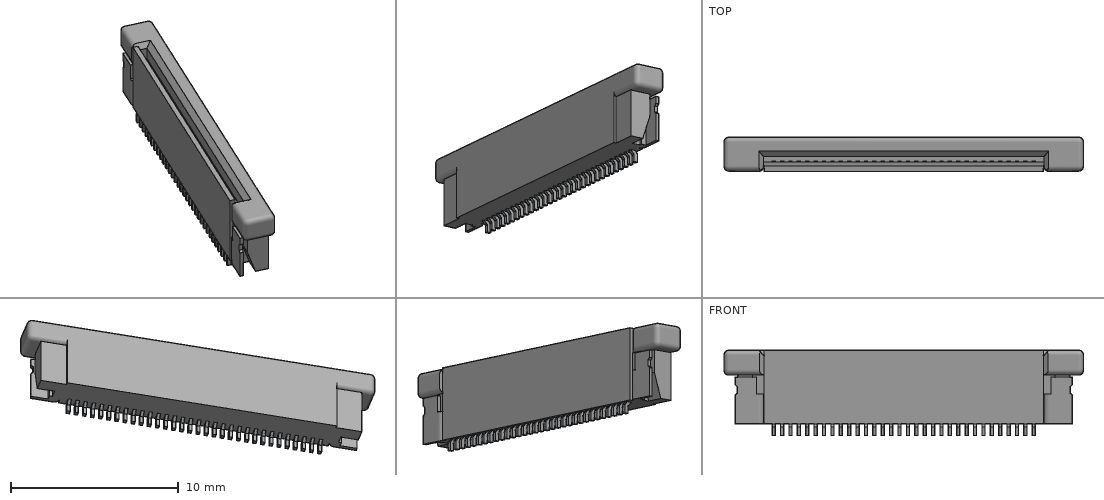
import cadquery as cq
import math


length = 21.43
depth = 2.05
height = 5.1
front_clearance = 0.02

actuator_height = 1.5
edge_radius = 0.3

housing_half_width = 8.31
housing_bottom = -4.4
clip_block_half_width = 9.0
ear_half_width = 9.9
ear_front = 0.54
ear_back = 1.89

relief_top = -2.87
relief_depth = 0.51
relief_step = 0.17
relief_step_bottom = -3.36

plate_thickness = 0.32
slot_back = 0.9
slot_half_width = 8.35
funnel_run = 0.32
funnel_drop = funnel_run
mouth_half_width = housing_half_width + funnel_run
mouth_chamfer_depth = 0.24
ledge_front = 0.58
ledge_level = -1.07
slot_floor = -3.43
floor_rise = 0.05

contact_count = 32
pitch = 1.5 / 3
contact_width = 0.2
contact_tip_depth = 0.06
contact_tip_height = 0.06
lead_thickness = 0.28
lead_top_back = 0.54
lead_top_front = 0.21

clip_thickness = 0.21
clip_outer = 10.05
clip_inner = 8.76
clip_top = -1.6
clip_notch_top = -2.05
clip_notch_bottom = -2.68
clip_notch_depth = 0.13
bend_radius = 0.36
bend_start = housing_half_width + bend_radius
bend_top = -2.61


def box(x0, x1, y0, y1, z0, z1):
    """Axis-aligned box between two opposite corners."""
    return cq.Workplane("XY").box(x1 - x0, y1 - y0, z1 - z0, centered=False).translate((x0, y0, z0))


def extrude_along_x(points, x0, x1):
    """Solid with the given (Y, Z) outline, running from x0 to x1."""
    return cq.Workplane("YZ").workplane(offset=x0).polyline(points).close().extrude(x1 - x0)


def both_ends(right_half):
    """The solid at the +X end together with its mirror image."""
    return right_half.union(right_half.mirror("YZ"))


def make_actuator():
    """Rounded bar with a mouth whose front corners are chamfered."""
    bar = box(-length / 2, length / 2, front_clearance, depth, -actuator_height, 0)
    bar = bar.edges().fillet(edge_radius)
    mouth = (
        cq.Workplane("XY")
        .polyline([
            (-mouth_half_width, 0),
            (mouth_half_width, 0),
            (housing_half_width, mouth_chamfer_depth),
            (-housing_half_width, mouth_chamfer_depth),
        ])
        .close()
        .extrude(-actuator_height)
    )
    return bar.cut(mouth)


def make_ear():
    """Ear with the block that carries the clip and the wedge relief between the two."""
    ear = box(0, ear_half_width, ear_front, ear_back, housing_bottom, -actuator_height + edge_radius)
    clip_block = box(0, clip_block_half_width, clip_thickness, ear_back, housing_bottom, -actuator_height)
    wedge = extrude_along_x(
        [
            (ear_front, relief_top),
            (ear_front + relief_depth, housing_bottom),
            (ear_front, housing_bottom),
        ],
        0,
        ear_half_width,
    )
    stepped_wall = (
        cq.Workplane("XZ", origin=(0, ear_front, 0))
        .polyline([
            (ear_half_width, relief_top),
            (clip_block_half_width, relief_top),
            (clip_block_half_width, relief_step_bottom + relief_step),
            (clip_block_half_width - relief_step, relief_step_bottom),
            (clip_block_half_width - relief_step, housing_bottom),
            (ear_half_width, housing_bottom),
        ])
        .close()
        .extrude(-relief_depth)
    )
    return ear.union(clip_block).cut(wedge.intersect(stepped_wall))


def make_funnel():
    """Entry tapering from the mouth at the top to the slot at its back and ends."""
    mouth_back = slot_back + funnel_run
    return (
        cq.Workplane("XY")
        .rect(2 * mouth_half_width, 2 * mouth_back)
        .workplane(offset=-funnel_drop)
        .rect(2 * slot_half_width, 2 * slot_back)
        .loft(combine=True)
    )


def make_slot():
    """Stepped cable slot: a raised ledge at the back and a deep, gently sloped floor in front."""
    return extrude_along_x(
        [
            (plate_thickness, 0),
            (slot_back, 0),
            (slot_back, ledge_level),
            (ledge_front, ledge_level),
            (ledge_front, slot_floor + floor_rise),
            (plate_thickness, slot_floor),
        ],
        -slot_half_width,
        slot_half_width,
    )


def make_clip():
    """Flat front tab whose inner edge bends back into the clip block."""
    notch_inner = clip_outer - clip_notch_depth
    tab = (
        cq.Workplane("XZ")
        .polyline([
            (clip_inner, clip_top),
            (clip_outer, clip_top),
            (clip_outer, clip_notch_top),
            (notch_inner, clip_notch_top - clip_notch_depth),
            (notch_inner, clip_notch_bottom + clip_notch_depth),
            (clip_outer, clip_notch_bottom),
            (clip_outer, housing_bottom),
            (bend_start, housing_bottom),
            (bend_start, bend_top),
            (clip_inner, bend_top),
        ])
        .close()
        .extrude(-clip_thickness)
    )
    diagonal = math.sqrt(0.5)
    bend = (
        cq.Workplane("XY", origin=(0, 0, housing_bottom))
        .moveTo(bend_start, 0)
        .threePointArc(
            (bend_start - bend_radius * diagonal, bend_radius * (1 - diagonal)),
            (housing_half_width, bend_radius),
        )
        .lineTo(bend_start, bend_radius)
        .close()
        .extrude(bend_top - housing_bottom)
    )
    return tab.union(bend)


def make_contact(x):
    """One slot tip and one solder lead, cranked forward at 45 degrees."""
    x0 = x - contact_width / 2
    x1 = x + contact_width / 2
    lead = extrude_along_x(
        [
            (lead_top_back, housing_bottom),
            (lead_thickness, housing_bottom - (lead_top_back - lead_thickness)),
            (lead_thickness, -height),
            (front_clearance, -height),
            (front_clearance, housing_bottom - (lead_top_front - front_clearance)),
            (lead_top_front, housing_bottom),
        ],
        x0,
        x1,
    )
    tip_back = ledge_front + contact_tip_depth
    tip_top = ledge_level + contact_tip_height
    tip = box(x0, x1, ledge_front, tip_back, ledge_level, tip_top)
    return lead.union(tip)


lower_body = box(-housing_half_width, housing_half_width, 0, depth, housing_bottom, -actuator_height)
slot_body = box(-housing_half_width, housing_half_width, ear_front, depth, housing_bottom, -edge_radius)
result = make_actuator().union(lower_body).union(slot_body).union(both_ends(make_ear()))

front_plate = box(-housing_half_width, housing_half_width, 0, plate_thickness, housing_bottom, 0)
result = result.cut(make_funnel()).cut(make_slot()).union(front_plate)

result = result.union(both_ends(make_clip()))
for index in range(contact_count):
    result = result.union(make_contact((index - (contact_count - 1) / 2) * pitch))